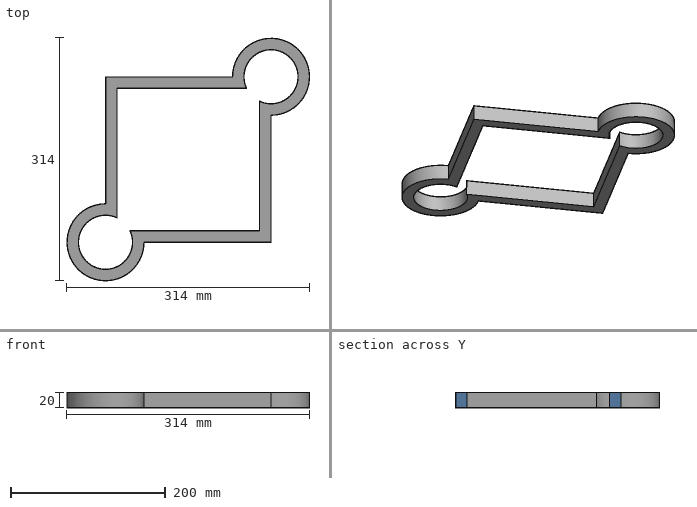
import cadquery as cq

overall_size = 314.0
height = 20.0
wall = 15.0
ring_radius = 50.0

frame_side = overall_size - 2 * ring_radius
corner = frame_side / 2
ring_centers = [(-corner, -corner), (corner, corner)]


def square_with_round_corners(side, radius):
    """Square plate joined with a disc at each ring centre."""
    square = cq.Workplane("XY").rect(side, side).extrude(height)
    discs = cq.Workplane("XY").pushPoints(ring_centers).circle(radius).extrude(height)
    return square.union(discs)


outer = square_with_round_corners(frame_side, ring_radius)
opening = square_with_round_corners(frame_side - 2 * wall, ring_radius - wall)

result = outer.cut(opening)